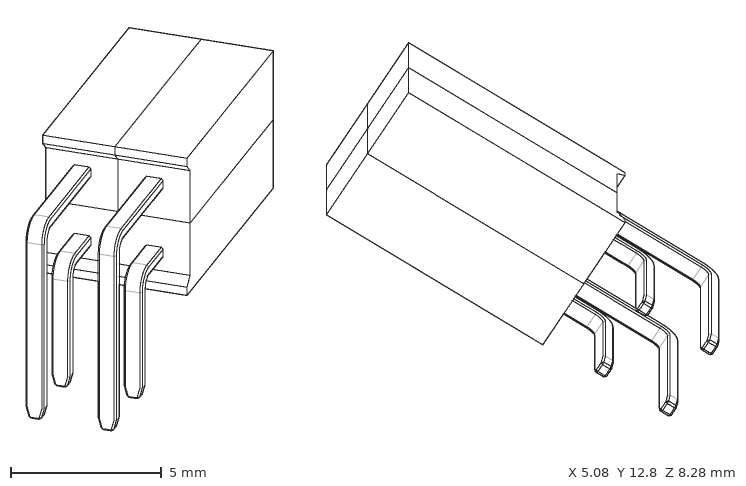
import cadquery as cq

PITCH = 2.54
COLUMNS = 2
ROWS = 2
CELL_LENGTH = 8.5

LIP_DEPTH = 0.31
LIP_THICKNESS = 0.31
LIP_SLOPE = 0.3

PIN_WIDTH = 0.64
PIN_THICKNESS = 0.41
BEND_INNER_RADIUS = 0.3
UPPER_REACH = 4.34
PIN_DROP = 3.2
PIN_EDGE = 0.06
TIP_LENGTH = 0.42
TIP_WIDTH = 0.41

BEND_OUTER_RADIUS = BEND_INNER_RADIUS + PIN_THICKNESS
RECESS_Y = LIP_DEPTH
TOLERANCE = 0.0001


def cell_block(upper):
    """Housing block of one cell, centred on X = 0, with its lip on the outer side."""
    lip_root = LIP_THICKNESS + LIP_SLOPE
    block = (
        cq.Workplane("YZ")
        .moveTo(0, 0)
        .lineTo(CELL_LENGTH, 0)
        .lineTo(CELL_LENGTH, PITCH)
        .lineTo(RECESS_Y, PITCH)
        .lineTo(RECESS_Y, lip_root)
        .lineTo(0, LIP_THICKNESS)
        .close()
        .extrude(PITCH / 2, both=True)
    )
    if upper:
        block = block.mirror("XY", (0, 0, PITCH))
    return block


def tip_envelope(outer_y):
    """Outline seen along Y that tapers the pin's lower end in width."""
    half_width = PIN_WIDTH / 2
    half_tip = TIP_WIDTH / 2
    height = PIN_DROP + ROWS * PITCH
    return (
        cq.Workplane("XZ", origin=(0, outer_y, -PIN_DROP))
        .moveTo(-half_tip, 0)
        .lineTo(half_tip, 0)
        .lineTo(half_width, TIP_LENGTH)
        .lineTo(half_width, height)
        .lineTo(-half_width, height)
        .lineTo(-half_width, TIP_LENGTH)
        .close()
        .extrude(outer_y - RECESS_Y)
    )


def break_edges(bar):
    """Chamfer the long edges and the tip rim, leaving the root and the taper creases sharp."""
    crease_z = -PIN_DROP + TIP_LENGTH

    def is_chamfered(edge):
        centre = edge.Center()
        at_root = abs(centre.y - RECESS_Y) < TOLERANCE
        at_crease = abs(centre.z - crease_z) < TOLERANCE
        return not (at_root or at_crease)

    return bar.edges("(not |X) or <Z").filter(is_chamfered).chamfer(PIN_EDGE)


def bent_pin(centre_z, reach):
    """L-shaped pin from the recessed housing face, bent down to the tip."""
    outer_y = -reach
    inner_y = outer_y + PIN_THICKNESS
    top_z = centre_z + PIN_THICKNESS / 2
    under_z = centre_z - PIN_THICKNESS / 2
    bend_y = outer_y + BEND_OUTER_RADIUS
    bend_z = top_z - BEND_OUTER_RADIUS
    bar = (
        cq.Workplane("YZ")
        .moveTo(RECESS_Y, top_z)
        .lineTo(bend_y, top_z)
        .radiusArc((outer_y, bend_z), -BEND_OUTER_RADIUS)
        .lineTo(outer_y, -PIN_DROP)
        .lineTo(inner_y, -PIN_DROP)
        .lineTo(inner_y, bend_z)
        .radiusArc((bend_y, under_z), BEND_INNER_RADIUS)
        .lineTo(RECESS_Y, under_z)
        .close()
        .extrude(PIN_WIDTH / 2, both=True)
    )
    bar = bar.intersect(tip_envelope(outer_y))
    return break_edges(bar)


def cell(column, row):
    """One connector cell: a housing block and its pin as a single body."""
    upper = row == ROWS - 1
    centre_z = (row + 0.5) * PITCH
    reach = UPPER_REACH - (ROWS - 1 - row) * PITCH
    body = cell_block(upper).union(bent_pin(centre_z, reach))
    return body.translate(((column + 0.5) * PITCH, 0, 0))


cells = [cell(column, row).val() for column in range(COLUMNS) for row in range(ROWS)]
result = cq.Compound.makeCompound(cells)